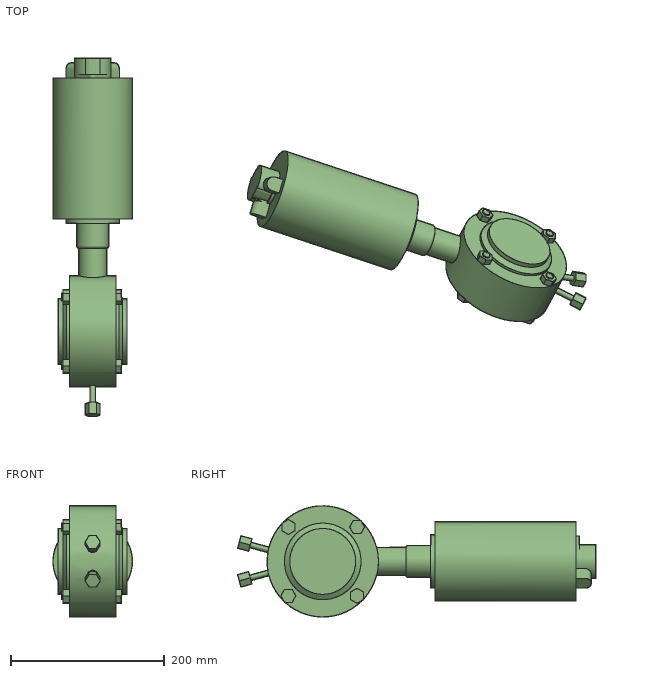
import cadquery as cq
import math


BODY_DIAMETER = 145.44
BODY_WIDTH = 61.0

HUB_DIAMETER = 100.0
HUB_LENGTH = 3.5
CONE_LENGTH = 5.0
FERRULE_DIAMETER = 86.0
FERRULE_HALF_SPAN = 45.0

BOLT_COUNT = 4
BOLT_START_ANGLE = 45.0
BOLT_CIRCLE_DIAMETER = 127.0
BOLT_HEX_FLATS = 17.0
STUD_DIAMETER = 10.0
NUT_THICKNESS = 8.4
HEAD_THICKNESS = 7.0
STUD_PROJECTION = 1.6

DRAIN_TILTS = (-15.0, 15.0)
DRAIN_PIPE_DIAMETER = 7.6
DRAIN_NUT_FLATS = 17.0
DRAIN_NUT_LENGTH = 15.0

DRAIN_PIVOT_Y = -14.5
DRAIN_PIPE_START = 40.0
DRAIN_LENGTH = 97.85

STEM_DIAMETER = 37.0
SLEEVE_DIAMETER = 42.0
COLLAR_DIAMETER = 70.0
DRUM_DIAMETER = 104.0
SLEEVE_START = 108.5
SLEEVE_ROUNDING = 3.0
COLLAR_START = 141.0
DRUM_START = 146.5
DRUM_END = 331.0
CAP_END = 356.75

CAP_DIAMETER = 47.8
CAP_CORE_DIAMETER = 43.0
CAP_SLOT_WIDTH = 18.4
CAP_FLAT_WIDTH = 9.6

POINTER_THICKNESS = 4.2
POINTER_TIP = 33.2
POINTER_TIP_RADIUS = 5.5

ARM_WIDTH = 18.4
ARM_REACH = 40.3
ARM_HEIGHT = 19.8
ARM_DIRECTIONS = (-45.0, -135.0)


def x_cylinder(diameter, x_start, x_end):
    return cq.Workplane("YZ").workplane(offset=x_start).circle(diameter / 2).extrude(x_end - x_start)


def y_cylinder(diameter, y_start, y_end):
    return cq.Workplane("XZ").workplane(offset=-y_start).circle(diameter / 2).extrude(y_start - y_end)


def hexagon(workplane, flats):
    """Hexagon with two corners on the local x axis."""
    return workplane.polygon(6, flats / math.cos(math.pi / 6))


def make_pipe_end():
    """Hub, cone and ferrule on the +X side, turned about the X axis."""
    hub_end = BODY_WIDTH / 2 + HUB_LENGTH
    cone_end = hub_end + CONE_LENGTH
    hub_radius = HUB_DIAMETER / 2
    ferrule_radius = FERRULE_DIAMETER / 2
    return (
        cq.Workplane("XY")
        .moveTo(0, 0)
        .lineTo(0, hub_radius)
        .lineTo(hub_end, hub_radius)
        .lineTo(cone_end, ferrule_radius)
        .lineTo(FERRULE_HALF_SPAN, ferrule_radius)
        .lineTo(FERRULE_HALF_SPAN, 0)
        .close()
        .revolve(360, (0, 0, 0), (1, 0, 0))
    )


def make_valve_body():
    body = x_cylinder(BODY_DIAMETER, -BODY_WIDTH / 2, BODY_WIDTH / 2)
    pipe_end = make_pipe_end()
    return body.union(pipe_end).union(pipe_end.mirror("YZ"))


def x_hexagon(flats, x_start, x_end):
    """Hexagonal bar along X with two corners pointing along Y."""
    return hexagon(cq.Workplane("YZ").workplane(offset=x_start), flats).extrude(x_end - x_start)


def make_bolt():
    """Bolt on the X axis: nut and stud tip on the -X face of the body, head on the +X face."""
    face = BODY_WIDTH / 2
    nut = x_hexagon(BOLT_HEX_FLATS, -face - NUT_THICKNESS, -face)
    head = x_hexagon(BOLT_HEX_FLATS, face, face + HEAD_THICKNESS)
    stud = x_cylinder(STUD_DIAMETER, -face - NUT_THICKNESS - STUD_PROJECTION, face)
    return stud.union(nut).union(head)


def add_bolts(part):
    bolt = make_bolt().rotate((0, 0, 0), (1, 0, 0), -BOLT_START_ANGLE)
    bolt = bolt.translate((0, BOLT_CIRCLE_DIAMETER / 2, 0))
    for index in range(BOLT_COUNT):
        angle = BOLT_START_ANGLE + index * 360 / BOLT_COUNT
        part = part.union(bolt.rotate((0, 0, 0), (1, 0, 0), angle))
    return part


def make_drain(tilt):
    """Pipe with a hexagon end nut pointing along -Y, then tilted about X."""
    nut_start = DRAIN_LENGTH - DRAIN_NUT_LENGTH
    pipe = y_cylinder(DRAIN_PIPE_DIAMETER, -nut_start, -DRAIN_PIPE_START)
    nut = hexagon(cq.Workplane("XZ").workplane(offset=nut_start), DRAIN_NUT_FLATS).extrude(DRAIN_NUT_LENGTH)
    drain = pipe.union(nut).rotate((0, 0, 0), (1, 0, 0), tilt)
    return drain.translate((0, DRAIN_PIVOT_Y, 0))


def make_actuator():
    stem = y_cylinder(STEM_DIAMETER, 0, COLLAR_START)
    sleeve = y_cylinder(SLEEVE_DIAMETER, SLEEVE_START, COLLAR_START)
    sleeve = sleeve.faces("<Y").edges().fillet(SLEEVE_ROUNDING)
    collar = y_cylinder(COLLAR_DIAMETER, COLLAR_START, DRUM_START)
    drum = y_cylinder(DRUM_DIAMETER, DRUM_START, DRUM_END)
    return stem.union(sleeve).union(collar).union(drum)


def make_cap():
    """Round cap with a flat-bottomed slot along Y on its upper and lower sides."""
    length = CAP_END - DRUM_END
    middle = (DRUM_END + CAP_END) / 2
    core_flat = math.sqrt(CAP_CORE_DIAMETER ** 2 - CAP_FLAT_WIDTH ** 2)
    slots = cq.Workplane("XY").box(CAP_SLOT_WIDTH, length, CAP_DIAMETER).translate((0, middle, 0))
    flats = cq.Workplane("XY").box(CAP_DIAMETER, length, core_flat).translate((0, middle, 0))
    core = y_cylinder(CAP_CORE_DIAMETER, DRUM_END, CAP_END).intersect(flats)
    return y_cylinder(CAP_DIAMETER, DRUM_END, CAP_END).cut(slots).union(core)


def make_pointer():
    """Teardrop plate: the cap circle joined by tangents to a small tip circle on +Z."""
    cap_radius = CAP_DIAMETER / 2
    tip_centre = POINTER_TIP - POINTER_TIP_RADIUS
    tangent_angle = math.asin((cap_radius - POINTER_TIP_RADIUS) / tip_centre)
    along = math.cos(tangent_angle)
    up = math.sin(tangent_angle)
    return (
        cq.Workplane("XZ")
        .workplane(offset=-DRUM_END)
        .moveTo(cap_radius * along, cap_radius * up)
        .lineTo(POINTER_TIP_RADIUS * along, tip_centre + POINTER_TIP_RADIUS * up)
        .threePointArc(
            (0, POINTER_TIP),
            (-POINTER_TIP_RADIUS * along, tip_centre + POINTER_TIP_RADIUS * up),
        )
        .lineTo(-cap_radius * along, cap_radius * up)
        .threePointArc((0, -cap_radius), (cap_radius * along, cap_radius * up))
        .close()
        .extrude(-POINTER_THICKNESS)
    )


def make_arm():
    """Radial arm along +X with a half-round crest on its +Y side."""
    half_width = ARM_WIDTH / 2
    shoulder = DRUM_END + ARM_HEIGHT - half_width
    return (
        cq.Workplane("YZ")
        .moveTo(DRUM_END, -half_width)
        .lineTo(shoulder, -half_width)
        .threePointArc((DRUM_END + ARM_HEIGHT, 0), (shoulder, half_width))
        .lineTo(DRUM_END, half_width)
        .close()
        .extrude(ARM_REACH)
    )


result = add_bolts(make_valve_body())
for drain_tilt in DRAIN_TILTS:
    result = result.union(make_drain(drain_tilt))
result = result.union(make_actuator())
result = result.union(make_cap()).union(make_pointer())
for direction in ARM_DIRECTIONS:
    result = result.union(make_arm().rotate((0, 0, 0), (0, 1, 0), -direction))